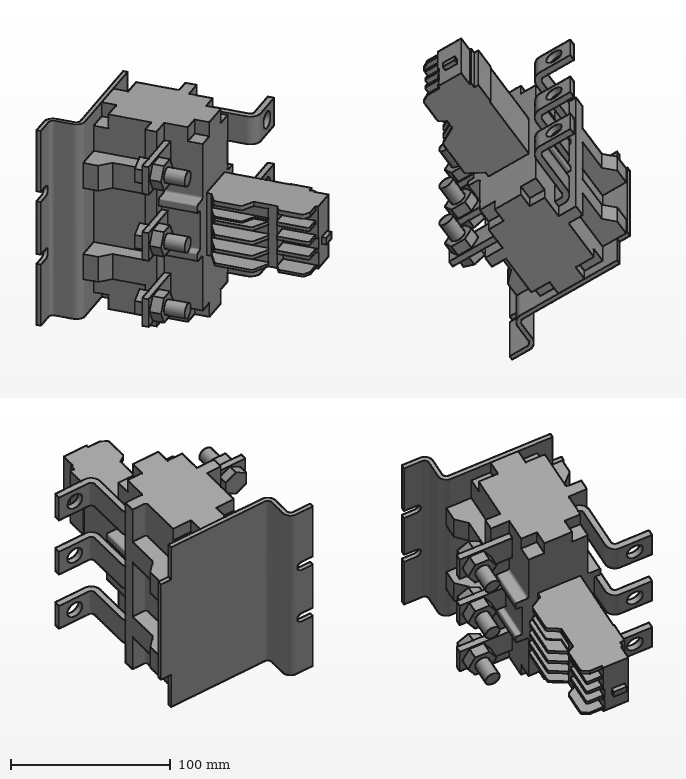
import cadquery as cq


HEIGHT = 138.0
HALF_HEIGHT = HEIGHT / 2

RIB_Z_INNER = 23.4
RIB_Z_OUTER = 41.2

PLATE_T = 3.0
PLATE_BEND_R = 3.0
PLATE_OFFSET = 24.0
PLATE_TOP_Y = 42.0
PLATE_SHOULDER_Y = 34.2
PLATE_STEP_Y = -44.0
LIP_END_Y = -60.0
SLOT_W = 7.0
SLOT_DEPTH = 12.0
SLOT_PITCH = 44.4

HOUSING_X = 72.7
FLANGE_X = (39.0, 46.7)
HOUSING_HALF_Y = 34.0
FOOT_HALF_Y = 41.0
FOOT_X = 10.0
FOOT_TAPER_X = 17.0
REAR_HALF_Y = 23.4
REAR_ROOT_R = 1.5
FRONT_HALF_Y = 21.0
NOTCH = 10.0
NOTCH_Y = 9.8

BARRIER_HALF_Y = 30.0
BARRIER_Z = (14.0, 20.0)
BARRIER_TIP_R = 1.2
BARRIER_INNER_R = 1.2
BARRIER_OUTER_R = 1.8
PAD_HALF_Y = 25.6

POLE_PITCH = 46.8
BAR_T = 4.3
BAR_W = 19.7
BAR_BEND_R = 2.7
BAR_STEP_Y = 32.2
UPPER_BAR_X = 89.5
UPPER_BAR_Y = 57.7
UPPER_HOLE_D = 11.4
UPPER_HOLE_Y = 45.5
LOWER_BAR_Y = -58.3
BOLT_Y = -46.4
BOLT_D = 10.2
HEAD_H = 6.5
HEAD_CORNERS = 18.5
NUT_H = 7.7
NUT_CORNERS = 20.2

AUX_Z = (-22.8, 21.2)
AUX_FACE_Y = -14.5
AUX_LEFT_FLOOR_Y = -12.3
AUX_FLOOR_Y = -5.7
AUX_RECESS_DEPTH = 1.0
AUX_END_X = 144.5
AUX_TOP_Y = 15.7
AUX_RAISED_Y = 16.3
AUX_RAISED_X = (117.2, 131.4)
AUX_STEP_Y = 13.2
AUX_STEP_X = 134.8
AUX_NOSE_Y = 12.0
AUX_WALL_X = 76.0
AUX_COLUMN_X = (114.4, 120.4)
FIN_END_X = 142.7
FIN_TOP_T = 3.1
FIN_T = 2.4
FIN_BOTTOM_T = 1.8
FIN_TIP_R = 2.0
LARGE_FIN_Y = -25.8
LARGE_FIN_X = (82.7, 108.0)
SMALL_FIN_Y = -22.8
SMALL_FIN_X = (81.0, 99.7)
SMALL_FIN_END_X = 104.6
SMALL_FIN_STRIP_T = 1.1
LARGE_FIN_TOPS = (9.2, -0.9, -11.0)
DEEP_FIN_Y = -19.3
DEEP_FIN_X = (123.2, 139.9)
SHALLOW_FIN_Y = -16.5
SHALLOW_FIN_TIP_R = 1.2
SHALLOW_FIN_TOPS = (10.9, 0.9, -9.2)
BUTTON_X = 147.6
BUTTON_Y = (0.2, 9.2)
BUTTON_Z = (-8.1, -3.3)


def block(x, y, z):
    """Box between the given (low, high) limits."""
    size = (x[1] - x[0], y[1] - y[0], z[1] - z[0])
    return cq.Workplane("XY").box(*size, centered=False).translate((x[0], y[0], z[0]))


def prism(points, z):
    """Closed XY outline extruded between two Z levels."""
    return cq.Workplane("XY").workplane(offset=z[0]).polyline(points).close().extrude(z[1] - z[0])


def both_sides(body, plane):
    return body.union(body.mirror(plane))


def mounting_plate():
    outer_r = PLATE_BEND_R + PLATE_T
    step_top_y = PLATE_STEP_Y + PLATE_T
    lip_back_x = -PLATE_OFFSET
    lip_front_x = lip_back_x + PLATE_T
    points = [
        (0, PLATE_TOP_Y),
        (0, PLATE_STEP_Y),
        (lip_front_x, PLATE_STEP_Y),
        (lip_front_x, LIP_END_Y),
        (lip_back_x, LIP_END_Y),
        (lip_back_x, step_top_y),
        (-PLATE_T, step_top_y),
        (-PLATE_T, PLATE_TOP_Y),
    ]
    plate = prism(points, (-HALF_HEIGHT, HALF_HEIGHT))
    bends = (
        (0, PLATE_STEP_Y, outer_r),
        (lip_front_x, PLATE_STEP_Y, PLATE_BEND_R),
        (lip_back_x, step_top_y, outer_r),
        (-PLATE_T, step_top_y, PLATE_BEND_R),
    )
    for x, y, radius in bends:
        plate = plate.edges(cq.NearestToPointSelector((x, y, 0))).fillet(radius)

    for z in ((-HALF_HEIGHT, -RIB_Z_OUTER), (RIB_Z_OUTER, HALF_HEIGHT)):
        plate = plate.cut(block((-PLATE_T, 0), (PLATE_SHOULDER_Y, PLATE_TOP_Y), z))

    slot_center_y = LIP_END_Y + SLOT_DEPTH - SLOT_W / 2
    for z in (-SLOT_PITCH / 2, SLOT_PITCH / 2):
        slot_end = (
            cq.Workplane("YZ")
            .workplane(offset=lip_back_x)
            .center(slot_center_y, z)
            .circle(SLOT_W / 2)
            .extrude(PLATE_T)
        )
        slot_z = (z - SLOT_W / 2, z + SLOT_W / 2)
        slot = block((lip_back_x, lip_front_x), (LIP_END_Y, slot_center_y), slot_z)
        plate = plate.cut(slot).cut(slot_end)
    return plate


def housing_rib():
    """Pair of tapered feet that run forward to the flange, one at each side."""
    half = [
        (0, FOOT_HALF_Y),
        (FOOT_X, FOOT_HALF_Y),
        (FOOT_TAPER_X, HOUSING_HALF_Y),
        (FLANGE_X[0], HOUSING_HALF_Y),
    ]
    other_half = [(x, -y) for x, y in reversed(half)]
    return prism(half + other_half, (RIB_Z_INNER, RIB_Z_OUTER))


def barrier():
    """Pair of barriers in front of the flange, with rounded tips and root fillets."""
    x = (FLANGE_X[1], HOUSING_X)
    low, high = BARRIER_Z
    body = block(x, (-BARRIER_HALF_Y, BARRIER_HALF_Y), BARRIER_Z)
    for y in (-BARRIER_HALF_Y, BARRIER_HALF_Y):
        for z in BARRIER_Z:
            body = body.edges(cq.NearestToPointSelector((sum(x) / 2, y, z))).fillet(BARRIER_TIP_R)
    roots = (
        (low, -1, BARRIER_INNER_R, PAD_HALF_Y),
        (high, 1, BARRIER_OUTER_R, FRONT_HALF_Y),
    )
    for z, outward, radius, root_half_y in roots:
        root_z = sorted((z, z + outward * radius))
        for side in (-1, 1):
            root_y = sorted((side * root_half_y, side * (root_half_y + radius)))
            hollow = (
                cq.Workplane("YZ")
                .workplane(offset=x[0])
                .center(side * (root_half_y + radius), z + outward * radius)
                .circle(radius)
                .extrude(x[1] - x[0])
            )
            body = body.union(block(x, root_y, root_z).cut(hollow))
    return body


def corner_notch(x):
    """Pair of notches at the upper end of the housing."""
    z = (HALF_HEIGHT - NOTCH, HALF_HEIGHT)
    return both_sides(block(x, (NOTCH_Y, FOOT_HALF_Y), z), "XZ")


def make_housing(terminals):
    """Housing with pockets that fit the terminals where they pass through the pad."""
    full_z = (-HALF_HEIGHT, HALF_HEIGHT)
    body = block((0, FLANGE_X[0]), (-REAR_HALF_Y, REAR_HALF_Y), full_z)
    body = body.union(block(FLANGE_X, (-HOUSING_HALF_Y, HOUSING_HALF_Y), full_z))
    root = cq.NearestToPointSelector((FLANGE_X[0], REAR_HALF_Y, 0))
    body = body.edges(root).fillet(REAR_ROOT_R)
    body = body.union(block((FLANGE_X[1], HOUSING_X), (-FRONT_HALF_Y, FRONT_HALF_Y), full_z))
    pad_z = (-BARRIER_Z[0], BARRIER_Z[0])
    body = body.union(block((FLANGE_X[1], HOUSING_X), (-PAD_HALF_Y, PAD_HALF_Y), pad_z))
    body = body.union(both_sides(housing_rib(), "XY"))
    body = body.union(both_sides(barrier(), "XY"))
    body = body.cut(both_sides(corner_notch((0, NOTCH)), "XY"))
    body = body.cut(both_sides(corner_notch((HOUSING_X - NOTCH, HOUSING_X)), "XY"))
    for terminal in terminals:
        body = body.cut(terminal)
    return body


def upper_terminal(z):
    """Double-bent bar with a plain hole."""
    x0 = FLANGE_X[1]
    inner_y = BAR_STEP_Y - BAR_T
    outer_r = BAR_BEND_R + BAR_T
    points = [
        (x0, FRONT_HALF_Y),
        (x0 + BAR_T, FRONT_HALF_Y),
        (x0 + BAR_T, inner_y),
        (UPPER_BAR_X, inner_y),
        (UPPER_BAR_X, UPPER_BAR_Y),
        (UPPER_BAR_X - BAR_T, UPPER_BAR_Y),
        (UPPER_BAR_X - BAR_T, BAR_STEP_Y),
        (x0, BAR_STEP_Y),
    ]
    bar = prism(points, (z - BAR_W / 2, z + BAR_W / 2))
    bends = (
        (x0 + BAR_T, inner_y, BAR_BEND_R),
        (UPPER_BAR_X, inner_y, outer_r),
        (UPPER_BAR_X - BAR_T, BAR_STEP_Y, BAR_BEND_R),
        (x0, BAR_STEP_Y, outer_r),
    )
    for x, y, radius in bends:
        bar = bar.edges(cq.NearestToPointSelector((x, y, z))).fillet(radius)
    hole = (
        cq.Workplane("YZ")
        .workplane(offset=UPPER_BAR_X - BAR_T)
        .center(UPPER_HOLE_Y, z)
        .circle(UPPER_HOLE_D / 2)
        .extrude(BAR_T)
    )
    return bar.cut(hole)


def hexagon(x, height, corners, turn, z):
    """Hexagonal prism along X, turned about its own axis by an angle in degrees."""
    prism_on_axis = cq.Workplane("YZ").polygon(6, corners).extrude(height)
    return prism_on_axis.rotate((0, 0, 0), (1, 0, 0), turn).translate((x, BOLT_Y, z))


def lower_terminal(z):
    """Straight bar with its clamping bolt and nut."""
    bar_x = (FLANGE_X[1], FLANGE_X[1] + BAR_T)
    bar = block(bar_x, (LOWER_BAR_Y, -FRONT_HALF_Y), (z - BAR_W / 2, z + BAR_W / 2))
    head = hexagon(bar_x[0] - HEAD_H, HEAD_H, HEAD_CORNERS, 90, z)
    nut = hexagon(bar_x[1], NUT_H, NUT_CORNERS, 0, z)
    shank = (
        cq.Workplane("YZ")
        .workplane(offset=bar_x[0])
        .center(BOLT_Y, z)
        .circle(BOLT_D / 2)
        .extrude(HOUSING_X - bar_x[0])
    )
    return bar.union(head).union(nut).union(shank)


def fin(root_x, tip_x, tip_y, z, tip_r):
    """Trapezoidal fin that stands on the gap floor, with rounded tip corners."""
    points = [
        (root_x[0], AUX_FLOOR_Y),
        (root_x[0], AUX_FACE_Y),
        (tip_x[0], tip_y),
        (tip_x[1], tip_y),
        (root_x[1], AUX_FACE_Y),
        (root_x[1], AUX_FLOOR_Y),
    ]
    return prism(points, z).faces("<Y").edges("|Z").fillet(tip_r)


def auxiliary_block():
    x0 = HOUSING_X
    points = [
        (x0, AUX_TOP_Y),
        (AUX_RAISED_X[0], AUX_TOP_Y),
        (AUX_RAISED_X[0], AUX_RAISED_Y),
        (AUX_RAISED_X[1], AUX_RAISED_Y),
        (AUX_RAISED_X[1], AUX_STEP_Y),
        (AUX_STEP_X, AUX_STEP_Y),
        (AUX_STEP_X, AUX_NOSE_Y),
        (AUX_END_X, AUX_NOSE_Y),
        (AUX_END_X, AUX_FLOOR_Y),
        (x0, AUX_FLOOR_Y),
    ]
    body = prism(points, AUX_Z)
    body = body.union(block((x0, AUX_COLUMN_X[1]), (AUX_LEFT_FLOOR_Y, AUX_FLOOR_Y), AUX_Z))
    for x in ((x0, AUX_WALL_X), AUX_COLUMN_X):
        body = body.union(block(x, (AUX_FACE_Y, AUX_FLOOR_Y), AUX_Z))

    top_z = (AUX_Z[1] - FIN_TOP_T, AUX_Z[1])
    bottom_z = (AUX_Z[0], AUX_Z[0] + FIN_BOTTOM_T)

    large_root = (AUX_WALL_X, AUX_COLUMN_X[0])
    small_root = (AUX_WALL_X, SMALL_FIN_END_X)
    strip_z = (LARGE_FIN_TOPS[0], LARGE_FIN_TOPS[0] + SMALL_FIN_STRIP_T)
    large_levels = [(top - FIN_T, top) for top in LARGE_FIN_TOPS] + [bottom_z]
    for z in (top_z, strip_z):
        body = body.union(fin(small_root, SMALL_FIN_X, SMALL_FIN_Y, z, FIN_TIP_R))
        body = body.union(block(large_root, (AUX_FACE_Y, AUX_FLOOR_Y), z))
    for z in large_levels:
        body = body.union(fin(large_root, LARGE_FIN_X, LARGE_FIN_Y, z, FIN_TIP_R))

    right_root = (AUX_COLUMN_X[1], FIN_END_X)
    for z in (top_z, bottom_z):
        body = body.union(fin(right_root, DEEP_FIN_X, DEEP_FIN_Y, z, FIN_TIP_R))
    for top in SHALLOW_FIN_TOPS:
        z = (top - FIN_T, top)
        body = body.union(fin(right_root, right_root, SHALLOW_FIN_Y, z, SHALLOW_FIN_TIP_R))

    recess_x = (AUX_COLUMN_X[1], AUX_END_X)
    recess_y = (AUX_FLOOR_Y, AUX_FLOOR_Y + AUX_RECESS_DEPTH)
    middle_top, lower_top = SHALLOW_FIN_TOPS[1:]
    for z in ((lower_top, middle_top - FIN_T), (bottom_z[1], lower_top - FIN_T)):
        body = body.cut(block(recess_x, recess_y, z))

    return body.union(block((AUX_END_X, BUTTON_X), BUTTON_Y, BUTTON_Z))


pole_levels = (-POLE_PITCH, 0, POLE_PITCH)
upper_terminals = [upper_terminal(z) for z in pole_levels]
lower_terminals = [lower_terminal(z) for z in pole_levels]
plate = mounting_plate()
housing = make_housing(upper_terminals + lower_terminals)
auxiliary = auxiliary_block()

bodies = [plate, housing, auxiliary, *upper_terminals, *lower_terminals]
result = cq.Compound.makeCompound([body.solids().val() for body in bodies])